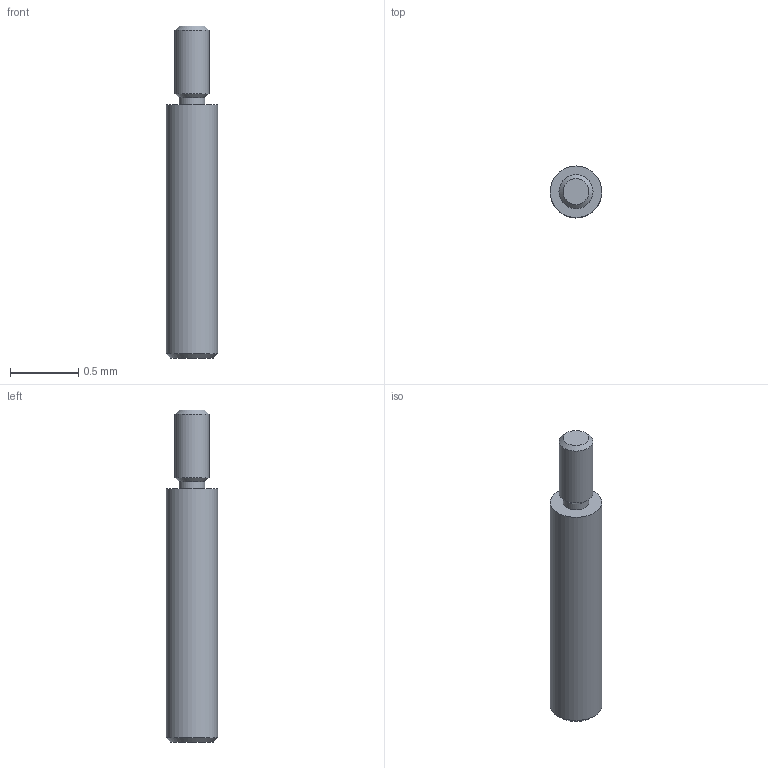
import cadquery as cq

total_length = 2.44
body_diameter = 0.38
stud_diameter = 0.25
neck_diameter = 0.19
stud_length = 0.58
neck_length = 0.053
body_chamfer = 0.032

body_radius = body_diameter / 2
stud_radius = stud_diameter / 2
neck_radius = neck_diameter / 2
stud_chamfer = stud_radius - neck_radius
shoulder_z = total_length - stud_length
neck_top_z = shoulder_z + neck_length


def make_body():
    """Main cylinder with a chamfered bottom edge."""
    body = cq.Workplane("XY").circle(body_radius).extrude(shoulder_z)
    return body.faces("<Z").chamfer(body_chamfer)


def make_neck():
    """Relief groove between the body and the stud."""
    return cq.Workplane("XY").workplane(offset=shoulder_z).circle(neck_radius).extrude(neck_length)


def make_stud():
    """Upper cylinder, chamfered at both ends."""
    stud_height = total_length - neck_top_z
    stud = cq.Workplane("XY").workplane(offset=neck_top_z).circle(stud_radius).extrude(stud_height)
    return stud.faces("<Z or >Z").chamfer(stud_chamfer)


result = make_body().union(make_neck()).union(make_stud())